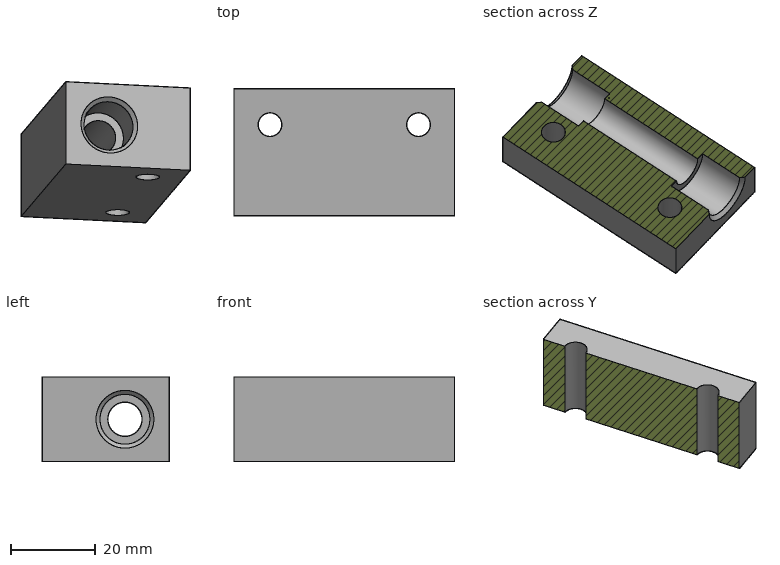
import cadquery as cq

length = 52.0
width = 30.0
height = 20.0

mount_diameter = 5.5
mount_spacing = 35.0
mount_y = 6.5

passage_y = -4.5
passage_diameter = 8.0
port_diameter = 11.75
port_depth = 12.0
port_mouth_diameter = 13.6
port_chamfer = (port_mouth_diameter - port_diameter) / 2


def port_cutter():
    """Chamfered counterbore entering the -X end face."""
    end_face = cq.Workplane("YZ", origin=(-length / 2, passage_y, 0))
    counterbore = end_face.circle(port_diameter / 2).extrude(port_depth)
    mouth = (
        end_face.circle(port_mouth_diameter / 2)
        .workplane(offset=port_chamfer)
        .circle(port_diameter / 2)
        .loft(ruled=True)
    )
    return counterbore.union(mouth)


block = cq.Workplane("XY").box(length, width, height)

mount_holes = (
    cq.Workplane("XY", origin=(0, mount_y, -height / 2))
    .rarray(mount_spacing, 0.5, 2, 1)
    .circle(mount_diameter / 2)
    .extrude(height)
)

passage = (
    cq.Workplane("YZ", origin=(-length / 2, passage_y, 0))
    .circle(passage_diameter / 2)
    .extrude(length)
)

near_port = port_cutter()
far_port = near_port.mirror("YZ")

result = block.cut(mount_holes).cut(passage).cut(near_port).cut(far_port)